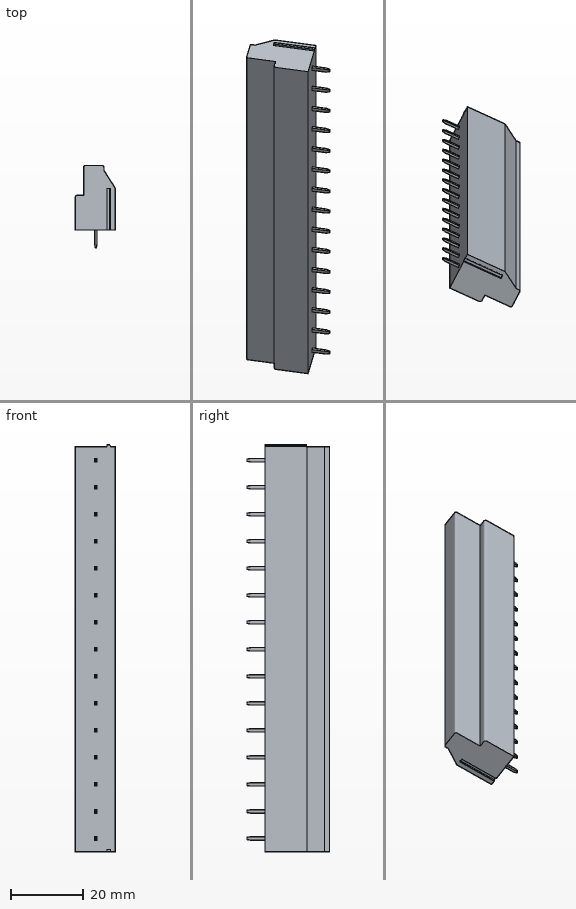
import cadquery as cq

pole_count = 15
overall_height = 113.1
housing_height = 112.5
pole_pitch = housing_height / pole_count
housing_width = 11.2
housing_depth = 18.0

ledge_width = 2.4
ledge_depth = 9.7
nose_right = 8.0
slope_start_depth = 11.6
slope_end_depth = 16.6
ledge_radius = 0.7
nose_radius = 0.5

rib_left = 8.8
rib_width = 1.0
rib_length = 11.5
rib_chamfer = 0.3
rib_height = overall_height - housing_height
groove_depth = 0.7

pin_center = 5.8
pin_width = 0.7
pin_height = 1.0
pin_length = 5.0
pin_tip_length = 1.0
pin_tip_inset = 0.17


def make_housing():
    profile = [
        (0, 0),
        (housing_width, 0),
        (housing_width, slope_start_depth),
        (nose_right, slope_end_depth),
        (nose_right, housing_depth),
        (ledge_width, housing_depth),
        (ledge_width, ledge_depth),
        (0, ledge_depth),
    ]
    body = cq.Workplane("XY").polyline(profile).close().extrude(housing_height)
    rounded_corners = [
        (ledge_width, housing_depth, nose_radius),
        (nose_right, housing_depth, nose_radius),
        (0, ledge_depth, ledge_radius),
    ]
    for x, y, radius in rounded_corners:
        corner = cq.selectors.NearestToPointSelector((x, y, housing_height / 2))
        body = body.edges("|Z").edges(corner).fillet(radius)
    return body


def make_end_bar(bottom, height):
    """Straight bar along Y, shared by the rib and the groove."""
    start = cq.Workplane("XY", origin=(rib_left, 0, bottom))
    return start.box(rib_width, rib_length, height, centered=False)


def make_rib():
    """Locating rib with its upper +X edge chamfered."""
    rib = make_end_bar(housing_height, rib_height)
    return rib.faces(">Z").edges(">X").chamfer(rib_chamfer)


def make_pin(center_height):
    """Rectangular pin pointing to -Y with a long tapered tip."""
    pin = cq.Workplane("XZ", origin=(pin_center, 0, center_height))
    pin = pin.rect(pin_width, pin_height).extrude(pin_length)
    return pin.faces("<Y").chamfer(pin_tip_length, pin_tip_inset)


result = make_housing()
result = result.union(make_rib())
result = result.cut(make_end_bar(0, groove_depth))
for pole in range(pole_count):
    result = result.union(make_pin(pole * pole_pitch + pole_pitch / 2))